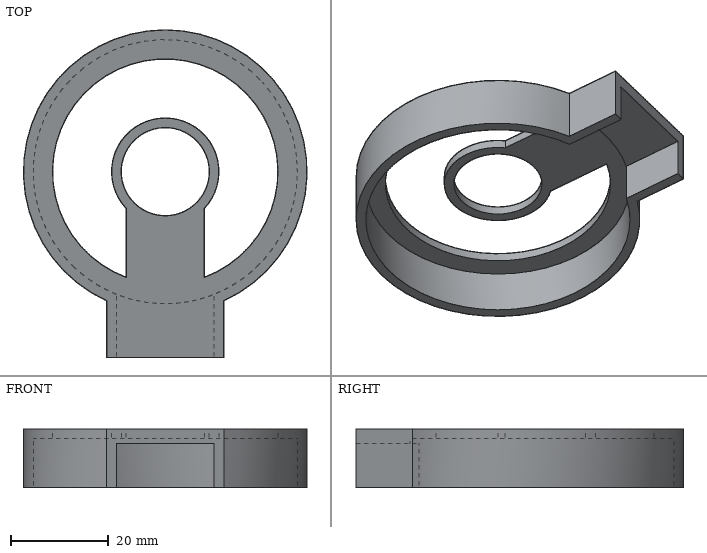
import cadquery as cq

LENGTH = 67.11
HEIGHT = 12.0
TOP_PLATE = 2.0
CHANNEL_ROOF = 3.0

RING_INNER_DIAMETER = 54.09
WALL = 2.0
RING_OUTER_DIAMETER = RING_INNER_DIAMETER + 2 * WALL
LIP_OVERHANG = 4.0
LIP_DIAMETER = RING_INNER_DIAMETER - 2 * LIP_OVERHANG

HUB_HOLE_DIAMETER = 18.0
HUB_OUTER_DIAMETER = HUB_HOLE_DIAMETER + 2 * WALL
ARM_WIDTH = 16.0

CHANNEL_WIDTH = 20.0
CHANNEL_OUTER_WIDTH = CHANNEL_WIDTH + 2 * WALL
CHANNEL_REACH = LENGTH - RING_OUTER_DIAMETER / 2

PLATE_BOTTOM = HEIGHT - TOP_PLATE


def disc(diameter, bottom, top):
    """Upright cylinder on the ring axis between two heights."""
    return cq.Workplane("XY").workplane(offset=bottom).circle(diameter / 2).extrude(top - bottom)


def bar(width, reach, bottom, top):
    """Block centred on X that runs from the ring axis toward -Y."""
    block = cq.Workplane("XY").box(width, reach, top - bottom, centered=(True, False, False))
    return block.translate((0, -reach, bottom))


def make_ring_and_channel():
    """Ring wall and channel body, hollowed beneath the lip and the channel roof."""
    body = disc(RING_OUTER_DIAMETER, 0, HEIGHT)
    body = body.union(bar(CHANNEL_OUTER_WIDTH, CHANNEL_REACH, 0, HEIGHT))
    body = body.cut(disc(RING_INNER_DIAMETER, 0, PLATE_BOTTOM))
    body = body.cut(disc(LIP_DIAMETER, PLATE_BOTTOM, HEIGHT))
    return body.cut(bar(CHANNEL_WIDTH, CHANNEL_REACH, 0, HEIGHT - CHANNEL_ROOF))


def make_hub_and_arm():
    """Flat hub ring joined to the lip by a straight arm."""
    arm_reach = RING_INNER_DIAMETER / 2
    hub = disc(HUB_OUTER_DIAMETER, PLATE_BOTTOM, HEIGHT)
    hub = hub.union(bar(ARM_WIDTH, arm_reach, PLATE_BOTTOM, HEIGHT))
    return hub.cut(disc(HUB_HOLE_DIAMETER, PLATE_BOTTOM, HEIGHT))


result = make_ring_and_channel().union(make_hub_and_arm())